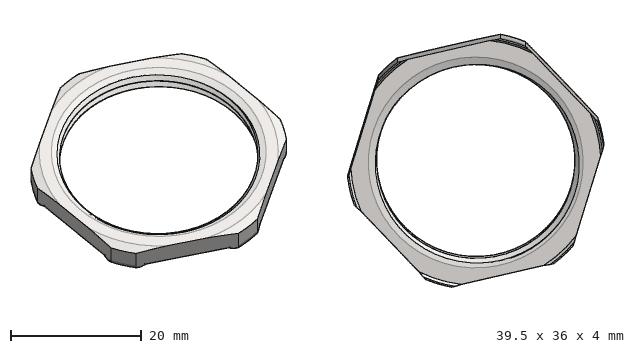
import cadquery as cq
import math

across_flats = 36.0
corner_radius = 19.75
height = 4.0

top_land_radius = 18.28
top_cone_angle = 15.0

rim_height = 0.47
rim_outer_radius = 19.7
rim_inner_radius = 19.45
recess_radius = 19.1

pitch = 1.5
crest_radius = 15.15
root_radius = 15.9
lead_in_radius = 16.42
lead_in_angle = 15.0
crest_flat = 0.1
root_flat = 0.08
cutter_turns = 5
thread_start_angle = 123.0
cutter_overlap = 0.05


def revolve_profile(points):
    """Revolve (radius, height) points about the Z axis."""
    return cq.Workplane("XZ").polyline(points).close().revolve(360, (0, 0, 0), (0, 1, 0))


def make_blank():
    """Hexagon with its corners turned to a circle, coned on top and tapered at the rim."""
    corner_diameter = across_flats / math.cos(math.pi / 6)
    cone_drop = (corner_radius - top_land_radius) * math.tan(math.radians(top_cone_angle))
    hexagon = cq.Workplane("XY").polygon(6, corner_diameter).extrude(height)
    turned_envelope = revolve_profile([
        (0, 0),
        (rim_outer_radius, 0),
        (corner_radius, rim_height),
        (corner_radius, height - cone_drop),
        (top_land_radius, height),
        (0, height),
    ])
    return hexagon.intersect(turned_envelope)


def make_underside_recess():
    """Conical recess that leaves only a thin rim under each corner."""
    return revolve_profile([
        (0, 0),
        (rim_inner_radius, 0),
        (recess_radius, rim_height),
        (0, rim_height),
    ])


def make_bore():
    """Plain cylinder that cuts the bore to the thread crests."""
    return cq.Workplane("XY").circle(crest_radius).extrude(height)


def make_lead_ins():
    """Bore with a flat cone opening it out at each end."""
    lead_in_depth = (lead_in_radius - crest_radius) * math.tan(math.radians(lead_in_angle))
    return revolve_profile([
        (0, rim_height),
        (lead_in_radius, rim_height),
        (crest_radius, rim_height + lead_in_depth),
        (crest_radius, height - lead_in_depth),
        (lead_in_radius, height),
        (0, height),
    ])


def make_thread_cutter():
    """Right-handed V groove running past both ends of the bore."""
    helix_height = cutter_turns * pitch
    start_z = (rim_height + height - helix_height) / 2
    half_mouth = (pitch - crest_flat) / 2
    slope = (half_mouth - root_flat / 2) / (root_radius - crest_radius)
    inner_radius = crest_radius - cutter_overlap
    half_inner = half_mouth + slope * cutter_overlap
    corners = [
        (inner_radius, -half_inner),
        (root_radius, -root_flat / 2),
        (root_radius, root_flat / 2),
        (inner_radius, half_inner),
    ]
    helices = [
        cq.Wire.makeHelix(pitch, helix_height, radius).Edges()[0].translate(cq.Vector(0, 0, offset))
        for radius, offset in corners
    ]
    sides = [
        cq.Face.makeRuledSurface(helices[index - 1], helices[index])
        for index in range(len(helices))
    ]
    ends = [
        cq.Face.makeFromWires(cq.Wire.makePolygon(
            [cq.Vector(radius, 0, offset + end) for radius, offset in corners], close=True))
        for end in (0, helix_height)
    ]
    groove = cq.Workplane(cq.Solid.makeSolid(cq.Shell.makeShell(sides + ends)))
    return groove.rotate((0, 0, 0), (0, 0, 1), thread_start_angle).translate((0, 0, start_z))


plain_ring = make_blank().cut(make_underside_recess()).cut(make_bore())
result = plain_ring.cut(make_thread_cutter()).cut(make_lead_ins())